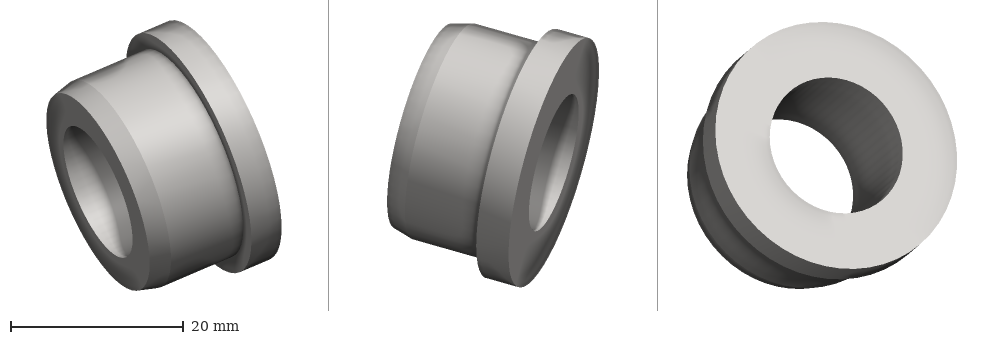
import cadquery as cq
import math

flange_diameter = 30.0
flange_thickness = 4.0
sleeve_diameter = 26.0
bore_diameter = 16.5
total_length = 16.0

taper_length = 2.45
taper_angle = 15.0
tip_radius = sleeve_diameter / 2 - taper_length * math.tan(math.radians(taper_angle))

flange_start = total_length - flange_thickness
half_section = (
    cq.Workplane("XY")
    .moveTo(bore_diameter / 2, 0)
    .lineTo(tip_radius, 0)
    .lineTo(sleeve_diameter / 2, taper_length)
    .lineTo(sleeve_diameter / 2, flange_start)
    .lineTo(flange_diameter / 2, flange_start)
    .lineTo(flange_diameter / 2, total_length)
    .lineTo(bore_diameter / 2, total_length)
    .close()
)

result = half_section.revolve(360, (0, 0, 0), (0, 1, 0))